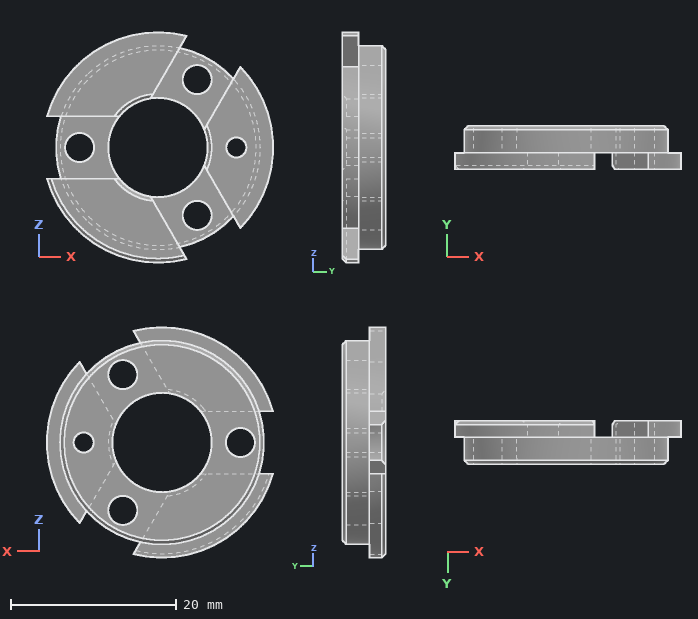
import cadquery as cq

flange_radius = 13.95
flange_thickness = 2.0
body_diameter = 24.7
total_depth = 5.3
bore_diameter = 12.0
edge_chamfer = 0.5

slot_width = 7.5
slot_angles = (60, 180, 300)

hole_circle_radius = 9.5
slot_hole_diameter = 3.5
segment_hole_diameter = 2.4
segment_hole_angle = 0
chamfered_segment_angle = 240


def disc(radius, front, back):
    """Cylinder about the Y axis between two depths."""
    return cq.Workplane("XZ", origin=(0, front, 0)).circle(radius).extrude(front - back)


def turned(shape, angle):
    """Turn a shape from the +X direction towards +Z about the ring axis."""
    return shape.rotate((0, 0, 0), (0, 1, 0), -angle)


def radial_slot(angle):
    """Slot through the flange thickness, running outwards from the ring axis."""
    slot = cq.Workplane("XY").box(
        2 * flange_radius, flange_thickness, slot_width, centered=(False, False, True)
    )
    return turned(slot, angle)


def axial_hole(diameter, angle):
    """Through hole on the hole circle."""
    hole = disc(diameter / 2, 0, total_depth).translate((hole_circle_radius, 0, 0))
    return turned(hole, angle)


def segment_rim_chamfer(angle):
    """Material removed from the front rim of one flange segment."""
    plain_disc = disc(flange_radius, 0, flange_thickness)
    chamfered_disc = plain_disc.faces("<Y").edges().chamfer(edge_chamfer)
    rim = plain_disc.cut(chamfered_disc)
    quarter = cq.Workplane("XY").box(
        2 * flange_radius, flange_thickness, 2 * flange_radius, centered=False
    )
    quarter = turned(quarter, angle - 45)
    return rim.intersect(quarter)


flange = disc(flange_radius, 0, flange_thickness)
flange = flange.cut(disc(bore_diameter / 2, 0, flange_thickness))
flange = flange.faces("<Y").edges(cq.selectors.RadiusNthSelector(0)).chamfer(edge_chamfer)
flange = flange.cut(segment_rim_chamfer(chamfered_segment_angle))
for slot_angle in slot_angles:
    flange = flange.cut(radial_slot(slot_angle))

body = disc(body_diameter / 2, flange_thickness, total_depth)
body = body.faces(">Y").edges().chamfer(edge_chamfer)
body = body.cut(disc(bore_diameter / 2, flange_thickness, total_depth))

result = body.union(flange)
for slot_angle in slot_angles:
    result = result.cut(axial_hole(slot_hole_diameter, slot_angle))
result = result.cut(axial_hole(segment_hole_diameter, segment_hole_angle))